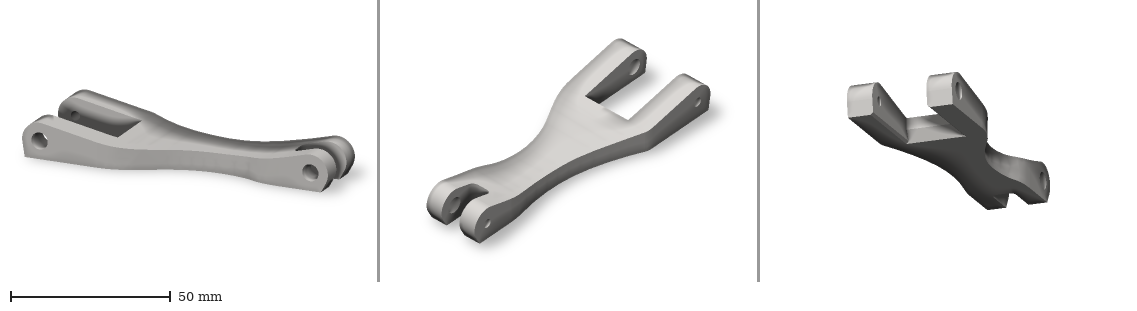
import cadquery as cq
import math

length = 102.0
width = 35.4
boss_radius = 6.0
pin_z = boss_radius
wide_pin_x = boss_radius
narrow_pin_x = length - boss_radius
wide_foot_x = 0.9
narrow_foot_x = 99.6

saddle_z = 6.5
saddle_start_x = 46.2
saddle_end_x = 59.5
saddle_blend_radius = 115.1

narrow_width = 20.2
wide_slot_width = 18.3
wide_slot_end_x = 29.1
narrow_slot_width = 7.5
narrow_slot_end_x = 87.0
narrow_slot_corner_radius = 2.0

relief_height = 4.0
relief_depth = 2.0
edge_chamfer_width = 0.9
edge_chamfer_height = 0.7

large_hole_diameter = 5.6
small_hole_diameter = 3.2

front_waist_start_x = 25.8
front_waist_end_x = 85.0
front_waist_points = [(36.8, -15.1), (46.7, -10.1), (61.7, -6.5), (73.7, -8.0)]
back_corner_start_x = 27.0
back_corner_end = (30.1, 17.1)
back_corner_slope = -0.5
back_waist_points = [(46.7, 10.6), (65.8, 8.1), (76.5, 9.1)]
back_waist_end_x = 84.7


def saddle_line_ends(pin_x, blend_x):
    """Ends of the line tangent to an end boss and to the saddle blend arc."""
    span = abs(blend_x - pin_x)
    rise = saddle_z + saddle_blend_radius - pin_z
    distance = math.hypot(span, rise)
    center_angle = math.atan2(span, rise)
    slope = center_angle - math.acos((boss_radius + saddle_blend_radius) / distance)
    toward_saddle = math.copysign(1, blend_x - pin_x)
    boss_end = (
        pin_x + toward_saddle * boss_radius * math.sin(slope),
        pin_z + boss_radius * math.cos(slope),
    )
    blend_end = (
        blend_x - toward_saddle * saddle_blend_radius * math.sin(slope),
        saddle_z + saddle_blend_radius * (1 - math.cos(slope)),
    )
    half_slope = slope / 2
    blend_middle = (
        blend_x - toward_saddle * saddle_blend_radius * math.sin(half_slope),
        saddle_z + saddle_blend_radius * (1 - math.cos(half_slope)),
    )
    return boss_end, blend_end, blend_middle


def foot_tangent_point(pin_x, foot_x):
    """Point where the line rising from the underside meets the boss tangentially."""
    offset = foot_x - pin_x
    outward = math.copysign(1, offset)
    distance = math.hypot(offset, pin_z)
    angle = math.acos(boss_radius / distance) - math.atan2(pin_z, abs(offset))
    return (
        pin_x + outward * boss_radius * math.cos(angle),
        pin_z + boss_radius * math.sin(angle),
    )


def side_profile():
    """Side silhouette, extruded over the full width."""
    wide_top, wide_blend, wide_middle = saddle_line_ends(wide_pin_x, saddle_start_x)
    narrow_top, narrow_blend, narrow_middle = saddle_line_ends(narrow_pin_x, saddle_end_x)
    diagonal = boss_radius * math.sqrt(0.5)
    return (
        cq.Workplane("XZ")
        .moveTo(wide_foot_x, 0)
        .lineTo(*foot_tangent_point(wide_pin_x, wide_foot_x))
        .threePointArc((wide_pin_x - diagonal, pin_z + diagonal), wide_top)
        .lineTo(*wide_blend)
        .threePointArc(wide_middle, (saddle_start_x, saddle_z))
        .lineTo(saddle_end_x, saddle_z)
        .threePointArc(narrow_middle, narrow_blend)
        .lineTo(*narrow_top)
        .threePointArc(
            (narrow_pin_x + diagonal, pin_z + diagonal),
            foot_tangent_point(narrow_pin_x, narrow_foot_x),
        )
        .lineTo(narrow_foot_x, 0)
        .close()
        .extrude(width / 2, both=True)
    )


def plan_outline():
    """Plan silhouette with a smooth waist on each side."""
    along_x = (1, 0)
    half_width = width / 2
    half_narrow = narrow_width / 2
    return (
        cq.Workplane("XY")
        .moveTo(0, -half_width)
        .lineTo(front_waist_start_x, -half_width)
        .spline(
            front_waist_points + [(front_waist_end_x, -half_narrow)],
            tangents=[along_x, along_x],
            includeCurrent=True,
        )
        .lineTo(length, -half_narrow)
        .lineTo(length, half_narrow)
        .lineTo(back_waist_end_x, half_narrow)
        .spline(
            back_waist_points[::-1] + [back_corner_end],
            tangents=[(-1, 0), (-1, -back_corner_slope)],
            includeCurrent=True,
        )
        .spline(
            [(back_corner_start_x, half_width)],
            tangents=[(-1, -back_corner_slope), (-1, 0)],
            includeCurrent=True,
        )
        .lineTo(0, half_width)
        .close()
        .extrude(2 * boss_radius)
    )


def wide_slot():
    """Square slot, with a sloped undercut at its end and chamfered lower edges."""
    half_slot = wide_slot_width / 2
    half_mouth = half_slot + edge_chamfer_width
    slot_end = (
        cq.Workplane("XZ")
        .moveTo(0, 0)
        .lineTo(wide_slot_end_x + relief_depth, 0)
        .lineTo(wide_slot_end_x, relief_height)
        .lineTo(wide_slot_end_x, 2 * boss_radius)
        .lineTo(0, 2 * boss_radius)
        .close()
        .extrude(half_mouth, both=True)
    )
    cross_section = (
        cq.Workplane("YZ")
        .moveTo(-half_mouth, 0)
        .lineTo(half_mouth, 0)
        .lineTo(half_slot, edge_chamfer_height)
        .lineTo(half_slot, 2 * boss_radius)
        .lineTo(-half_slot, 2 * boss_radius)
        .lineTo(-half_slot, edge_chamfer_height)
        .close()
        .extrude(wide_slot_end_x + relief_depth)
    )
    return slot_end.intersect(cross_section)


def narrow_slot():
    """Slot with rounded inner corners, open at the high-X end."""
    return (
        cq.Workplane("XY")
        .moveTo(narrow_slot_end_x, -narrow_slot_width / 2)
        .rect(length - narrow_slot_end_x, narrow_slot_width, centered=False)
        .extrude(2 * boss_radius)
        .edges("|Z and <X")
        .fillet(narrow_slot_corner_radius)
    )


def pin_holes(diameter, side):
    """Holes through both arms on one side of the XZ plane (side is -1 or +1)."""
    return (
        cq.Workplane("XZ")
        .pushPoints([(wide_pin_x, pin_z), (narrow_pin_x, pin_z)])
        .circle(diameter / 2)
        .extrude(-side * width / 2)
    )


result = (
    side_profile()
    .intersect(plan_outline())
    .cut(wide_slot())
    .cut(narrow_slot())
    .cut(pin_holes(large_hole_diameter, -1))
    .cut(pin_holes(small_hole_diameter, 1))
)